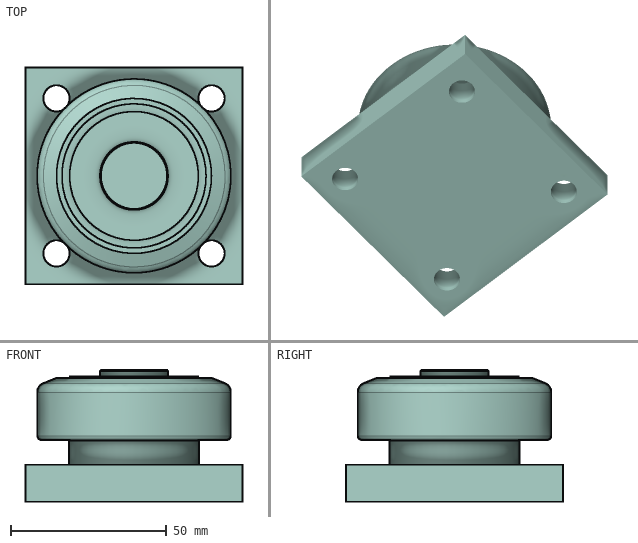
import cadquery as cq

plate_side = 70.0
plate_thickness = 12.0
bolt_hole_diameter = 8.4
bolt_hole_pitch = 50.0

collar_top = 19.7
ring_bottom = 19.9
ring_top = 40.0
hub_top = 40.5
pin_top = 42.5

collar_diameter = 42.0
hub_diameter = 41.5
pin_diameter = 22.0
pin_chamfer = 0.35

ring_diameter = 62.5
ring_face_diameter = 50.0
ring_cone_height = 2.5
ring_shoulder_radius = 3.15
ring_bottom_radius = 1.5

seal_diameter = 46.5
seal_thickness = 2.1
seal_inset = 0.15
seal_top = ring_top - seal_inset
seal_bottom = seal_top - seal_thickness


def cylinder(diameter, bottom, top):
    """Upright cylinder on the Z axis between two heights."""
    return cq.Workplane("XY").workplane(offset=bottom).circle(diameter / 2).extrude(top - bottom)


def make_plate():
    """Square base plate with a bolt hole near each corner."""
    return (
        cq.Workplane("XY")
        .rect(plate_side, plate_side)
        .extrude(plate_thickness)
        .faces(">Z")
        .workplane()
        .rect(bolt_hole_pitch, bolt_hole_pitch, forConstruction=True)
        .vertices()
        .hole(bolt_hole_diameter)
    )


def make_collar():
    """Spacer that carries the bearing above the plate."""
    return cylinder(collar_diameter, plate_thickness, collar_top)


def make_outer_ring():
    """Roller ring with a rounded conical shoulder, a bore for the hub and a recess for the seal."""
    radius = ring_diameter / 2
    cone_base = ring_top - ring_cone_height
    blank = (
        cq.Workplane("XZ")
        .moveTo(0, ring_bottom)
        .lineTo(radius, ring_bottom)
        .lineTo(radius, cone_base)
        .lineTo(ring_face_diameter / 2, ring_top)
        .lineTo(0, ring_top)
        .close()
        .revolve(360, (0, 0, 0), (0, 1, 0))
    )
    shoulder_edge = cq.selectors.RadiusNthSelector(-1)
    blank = blank.faces("<Z").edges().fillet(ring_bottom_radius)
    blank = blank.edges("%CIRCLE").edges(shoulder_edge).edges(">Z").fillet(ring_shoulder_radius)
    bore = cylinder(hub_diameter, ring_bottom, ring_top)
    seal_recess = cylinder(seal_diameter, seal_bottom, ring_top)
    return blank.cut(bore).cut(seal_recess)


def make_seal():
    """Flat seal ring between the outer ring and the hub."""
    return cylinder(seal_diameter, seal_bottom, seal_top).cut(cylinder(hub_diameter, seal_bottom, seal_top))


def make_hub():
    """Inner hub standing on the collar, bored for the pin."""
    return cylinder(hub_diameter, collar_top, hub_top).cut(cylinder(pin_diameter, collar_top, hub_top))


def make_pin():
    """Central pin through the hub, chamfered at its top."""
    return cylinder(pin_diameter, collar_top, pin_top).faces(">Z").chamfer(pin_chamfer)


plate = make_plate()
collar = make_collar()
outer_ring = make_outer_ring()
seal = make_seal()
hub = make_hub()
pin = make_pin()

result = cq.Compound.makeCompound(
    [plate.val(), collar.val(), outer_ring.val(), seal.val(), hub.val(), pin.val()]
)